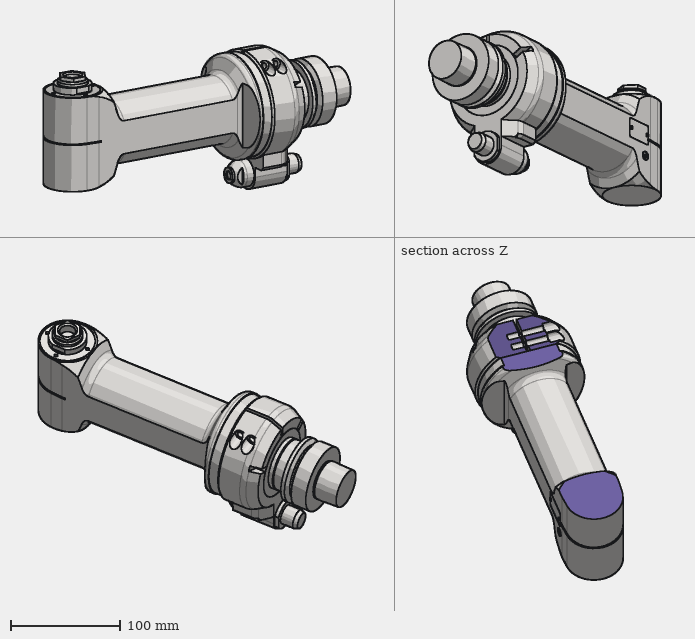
import cadquery as cq
import math


ARM_RADIUS = 32.0
FLAT_HALF_WIDTH = 28.0
HEAD_HALF_HEIGHT = 45.0
HEAD_FRONT_RADIUS = 27.0
HEAD_TAPER_Y = 10.0
RING_RADIUS = 51.0
RING_BACK_Y = 186.8
RING_FRONT_Y = 226.2
SPIGOT_RADIUS = 33.7


def cylinder_y(radius, y_start, y_end, z=0.0):
    """Cylinder along Y, on the plane X = 0."""
    base = cq.Vector(0, y_start, z)
    return cq.Workplane(cq.Solid.makeCylinder(radius, y_end - y_start, base, cq.Vector(0, 1, 0)))


def cylinder_x(radius, x_start, x_end, y, z):
    """Cylinder with its axis along X."""
    base = cq.Vector(x_start, y, z)
    return cq.Workplane(cq.Solid.makeCylinder(radius, x_end - x_start, base, cq.Vector(1, 0, 0)))


def turned(outline):
    """Turn a (radius, Y) outline that starts and ends on the Y axis."""
    return outline.close().revolve(360, (0, 0, 0), (0, 1, 0))


HEAD_TOP_RADIUS = 27.0
HEAD_SHOULDER_Y = 27.0
HEAD_SPHERE_RADIUS = math.hypot(HEAD_HALF_HEIGHT, HEAD_TOP_RADIUS)
CONE_ANGLE = math.radians(64)
NECK_FILLET = 7.5
ARM_FLARE_Y = 157.2
FLANGE_RADIUS = 49.7
FLANGE_ROUNDING = 5.5
FLANGE_BACK_Y = 177.0
BAND_RADIUS = 48.8
FLANGE_FLAT_INNER_Y = 167.2
FLANGE_FLAT_OUTER_Y = 173.5
FLANGE_FLAT_INNER_X = 30.2
FLANGE_FLAT_FILLET_Y = 162.7
COVER_RADIUS = 25.5
COVER_HEIGHT = 0.3
COVER_HOLE_COUNT = 4
COVER_HOLE_DIAMETER = 3.0
COVER_HOLE_CIRCLE_RADIUS = 21.2
COVER_HOLE_DEPTH = 3.2
SPLIT_GROOVE_WIDTH = 1.0
SPLIT_GROOVE_DEPTH = 0.5
PLATE_Y = (13.0, 42.0)
PLATE_Z = (-5.8, 12.8)
PLATE_THICKNESS = 0.15
PLATE_CORNER = 1.5
RIVET_DIAMETER = 3.2
RIVET_HEIGHT = 0.8
RIVET_INSET = 2.0
PLUG_Y = 17.0
PLUG_Z = -17.0
PLUG_DIAMETER = 8.0
PLUG_RECESS = 0.5
PLUG_SOCKET_DIAMETER = 3.2
PLUG_SOCKET_DEPTH = 3.2


def housing_turned():
    """Arm, both shoulder cones, the spherical head and the flange with its spigot."""
    fillet_length = NECK_FILLET * math.sin(CONE_ANGLE)
    cone_inner_radius = ARM_RADIUS + NECK_FILLET * (1 - math.cos(CONE_ANGLE))
    slope = math.tan(CONE_ANGLE)

    head_cone_y = HEAD_SHOULDER_Y + (HEAD_HALF_HEIGHT - cone_inner_radius) / slope
    flange_cone_y = ARM_FLARE_Y + fillet_length
    cone_outer_radius = FLANGE_RADIUS - FLANGE_ROUNDING * (1 - math.cos(CONE_ANGLE))
    rounding_start_y = flange_cone_y + (cone_outer_radius - cone_inner_radius) / slope
    rounding_end_y = rounding_start_y + FLANGE_ROUNDING * math.sin(CONE_ANGLE)

    outline = (
        cq.Workplane("XY")
        .moveTo(0, -HEAD_SPHERE_RADIUS)
        .threePointArc((HEAD_SPHERE_RADIUS, 0), (HEAD_HALF_HEIGHT, HEAD_SHOULDER_Y))
        .lineTo(cone_inner_radius, head_cone_y)
        .tangentArcPoint((ARM_RADIUS, head_cone_y + fillet_length), relative=False)
        .lineTo(ARM_RADIUS, ARM_FLARE_Y)
        .tangentArcPoint((cone_inner_radius, flange_cone_y), relative=False)
        .lineTo(cone_outer_radius, rounding_start_y)
        .tangentArcPoint((FLANGE_RADIUS, rounding_end_y), relative=False)
        .lineTo(FLANGE_RADIUS, FLANGE_BACK_Y)
        .lineTo(BAND_RADIUS, FLANGE_BACK_Y)
        .lineTo(BAND_RADIUS, RING_BACK_Y)
        .lineTo(SPIGOT_RADIUS, RING_BACK_Y)
        .lineTo(SPIGOT_RADIUS, RING_FRONT_Y)
        .lineTo(0, RING_FRONT_Y)
    )
    return turned(outline)


def head_tangent_point(front_radius, half_width):
    """Point on the round head front where the +X side, drawn in from its taper start, is tangent."""
    distance = math.hypot(half_width, HEAD_TAPER_Y)
    direction = math.atan2(HEAD_TAPER_Y, half_width)
    angle = direction - math.acos(front_radius / distance)
    return (front_radius * math.cos(angle), front_radius * math.sin(angle))


def housing_plan(front_radius, half_width):
    """Prism with the plan of the housing: round head, flat arm sides and sloping flats on the flange."""
    return (
        cq.Workplane("XY")
        .workplane(offset=-RING_RADIUS)
        .moveTo(0, -front_radius)
        .radiusArc(head_tangent_point(front_radius, half_width), -front_radius)
        .lineTo(half_width, HEAD_TAPER_Y)
        .lineTo(half_width, FLANGE_FLAT_FILLET_Y)
        .tangentArcPoint((FLANGE_FLAT_INNER_X, FLANGE_FLAT_INNER_Y), relative=False)
        .lineTo(RING_RADIUS, FLANGE_FLAT_OUTER_Y)
        .lineTo(RING_RADIUS, RING_FRONT_Y)
        .lineTo(0, RING_FRONT_Y)
        .mirrorY()
        .extrude(2 * RING_RADIUS)
    )


def trim_head_ends(body):
    """Cut the head flat at top and bottom and leave a raised round cover on top."""
    slab_width = 2 * HEAD_SPHERE_RADIUS
    slab = cq.Workplane("XY").box(slab_width, slab_width, HEAD_HALF_HEIGHT, centered=(True, True, False))
    for slab_bottom in (HEAD_HALF_HEIGHT, -2 * HEAD_HALF_HEIGHT):
        body = body.cut(slab.translate((0, 0, slab_bottom)))
    rim = (
        cq.Workplane("XY")
        .workplane(offset=HEAD_HALF_HEIGHT - COVER_HEIGHT)
        .circle(HEAD_SPHERE_RADIUS)
        .circle(COVER_RADIUS)
        .extrude(COVER_HEIGHT)
    )
    return body.cut(rim)


def cover_holes():
    """Blind holes in the cover, around the spindle."""
    return (
        cq.Workplane("XY")
        .workplane(offset=HEAD_HALF_HEIGHT - COVER_HOLE_DEPTH)
        .polarArray(COVER_HOLE_CIRCLE_RADIUS, 0, 360, COVER_HOLE_COUNT)
        .circle(COVER_HOLE_DIAMETER / 2)
        .extrude(COVER_HOLE_DEPTH)
    )


def split_groove():
    """Shallow groove around the front of the head, ending at the name plate."""
    length = PLATE_Y[0] + HEAD_FRONT_RADIUS
    band = cq.Workplane("XY").box(
        2 * ARM_RADIUS, length, SPLIT_GROOVE_WIDTH, centered=(True, False, True)
    )
    band = band.translate((0, -HEAD_FRONT_RADIUS, 0))
    return band.cut(
        housing_plan(HEAD_FRONT_RADIUS - SPLIT_GROOVE_DEPTH, FLAT_HALF_WIDTH - SPLIT_GROOVE_DEPTH)
    )


def name_plate():
    """Thin plate with two rivets on the -X flat."""
    width = PLATE_Y[1] - PLATE_Y[0]
    height = PLATE_Z[1] - PLATE_Z[0]
    middle_z = (PLATE_Z[0] + PLATE_Z[1]) / 2
    plate = cq.Workplane("XY").box(PLATE_THICKNESS, width, height, centered=(False, False, True))
    plate = plate.edges("|X").fillet(PLATE_CORNER)
    plate = plate.translate((-FLAT_HALF_WIDTH - PLATE_THICKNESS, PLATE_Y[0], middle_z))
    for rivet_y in (PLATE_Y[0] + RIVET_INSET, PLATE_Y[1] - RIVET_INSET):
        rivet = cylinder_x(
            RIVET_DIAMETER / 2, -FLAT_HALF_WIDTH - RIVET_HEIGHT, -FLAT_HALF_WIDTH, rivet_y, middle_z
        )
        plate = plate.union(rivet)
    return plate


def plug_recess():
    """Shallow round recess with a small socket in the -X flat."""
    recess = cylinder_x(PLUG_DIAMETER / 2, -FLAT_HALF_WIDTH, -FLAT_HALF_WIDTH + PLUG_RECESS, PLUG_Y, PLUG_Z)
    socket = cylinder_x(
        PLUG_SOCKET_DIAMETER / 2, -FLAT_HALF_WIDTH, -FLAT_HALF_WIDTH + PLUG_SOCKET_DEPTH, PLUG_Y, PLUG_Z
    )
    return recess.union(socket)


def make_housing():
    body = housing_turned().intersect(housing_plan(HEAD_FRONT_RADIUS, FLAT_HALF_WIDTH))
    body = trim_head_ends(body)
    body = body.cut(cover_holes()).cut(split_groove()).cut(plug_recess())
    return body.union(name_plate())


RING_FACE_RADIUS = 44.0
RING_CONE_RADIUS = 49.5
RING_CONE_Y = 216.3
RING_ROUNDING_Y = 210.5
RING_BACK_CHAMFER = 2.0
SLIT_WIDTH = 3.05
NOTCH_WIDTH = 5.0
NOTCH_ANGLES = (30, 150)
SCREW_YS = (195.5, 208.0)
SCREW_Z = 40.5
SCREW_HEAD_DIAMETER = 11.0
SCREW_HEAD_FLOOR_X = 22.5
SCREW_HOLE_DIAMETER = 6.0
SCREW_HOLE_END_X = -12.8
BRACKET_HALF_WIDTH = 28.5
BRACKET_BACK_Y = 191.0
BRACKET_BOTTOM_Z = -57.8
BRACKET_TOP_Z = -38.5
BRACKET_CHAMFER = 3.2
BRACKET_BEVEL_X = 26.3
PIN_Z = -65.5
BOSS_RADIUS = 15.0
BOSS_BOTTOM_Z = -81.5
BOSS_CENTRE_Z = BOSS_BOTTOM_Z + BOSS_RADIUS
PIN_TAIL_RADIUS = 9.3
PIN_TAIL_Y = 247.0
PIN_TAIL_CHAMFER_LENGTH = 4.2
PIN_TAIL_CHAMFER_DEPTH = 1.5
PIN_COLLAR_RADIUS = 14.5
PIN_COLLAR_Y = 230.0
PIN_COLLAR_FLAT_X = 12.8
PIN_BARREL_RADIUS = 13.0
PIN_BARREL_Y = 183.2
PIN_NOSE_Y = 173.5
PIN_NOSE_MIDDLE = (11.2, 178.0)
PIN_TIP_RADIUS = 7.5
PIN_TIP_Y = 171.5
PIN_NOSE_FLAT_X = 9.3
PIN_NOSE_FLAT_Y = 180.5
PIN_HOLE_DIAMETER = 8.0
PIN_HOLE_DEPTH = 1.3


def ring_blank():
    """Turned ring with a cone and a rounded shoulder on the shank side."""
    return turned(
        cq.Workplane("XY")
        .moveTo(0, RING_BACK_Y)
        .lineTo(RING_RADIUS - RING_BACK_CHAMFER, RING_BACK_Y)
        .lineTo(RING_RADIUS, RING_BACK_Y + RING_BACK_CHAMFER)
        .lineTo(RING_RADIUS, RING_ROUNDING_Y)
        .tangentArcPoint((RING_CONE_RADIUS, RING_CONE_Y), relative=False)
        .lineTo(RING_FACE_RADIUS, RING_FRONT_Y)
        .lineTo(0, RING_FRONT_Y)
    )


def bracket():
    """Block below the ring; its sides are rounded and bevelled towards the boss."""
    block = (
        cq.Workplane("XY")
        .workplane(offset=BRACKET_BOTTOM_Z)
        .moveTo(0, BRACKET_BACK_Y)
        .lineTo(BRACKET_HALF_WIDTH, BRACKET_BACK_Y)
        .lineTo(BRACKET_HALF_WIDTH, RING_ROUNDING_Y)
        .tangentArcPoint((BRACKET_BEVEL_X, RING_CONE_Y), relative=False)
        .lineTo(BOSS_RADIUS, RING_FRONT_Y)
        .lineTo(0, RING_FRONT_Y)
        .mirrorY()
        .extrude(BRACKET_TOP_Z - BRACKET_BOTTOM_Z)
    )
    block = block.faces("<Z").edges("<X or >X").chamfer(BRACKET_CHAMFER)
    length = RING_FRONT_Y - BRACKET_BACK_Y
    web = cq.Workplane("XY").box(
        2 * BOSS_RADIUS, length, BRACKET_TOP_Z - BOSS_CENTRE_Z, centered=(True, False, False)
    )
    web = web.translate((0, BRACKET_BACK_Y, BOSS_CENTRE_Z))
    boss = cylinder_y(BOSS_RADIUS, BRACKET_BACK_Y, RING_FRONT_Y, z=BOSS_CENTRE_Z)
    return block.union(web).union(boss)


def side_flats(half_width, y_start, y_end):
    """Cutters that leave two flats at X = +half_width and X = -half_width on the pin."""
    size = 2 * PIN_COLLAR_RADIUS
    cutter = cq.Workplane("XY").box(size, y_end - y_start, size, centered=(False, False, True))
    right = cutter.translate((half_width, y_start, PIN_Z))
    return right.union(right.mirror("YZ"))


def locating_pin():
    """Turned pin through the boss, with flats on its collar and nose and a hole in its tip."""
    pin = turned(
        cq.Workplane("XY")
        .moveTo(0, PIN_TIP_Y)
        .lineTo(PIN_TIP_RADIUS, PIN_TIP_Y)
        .lineTo(PIN_TIP_RADIUS, PIN_NOSE_Y)
        .threePointArc(PIN_NOSE_MIDDLE, (PIN_BARREL_RADIUS, PIN_BARREL_Y))
        .lineTo(PIN_BARREL_RADIUS, RING_FRONT_Y)
        .lineTo(PIN_COLLAR_RADIUS, RING_FRONT_Y)
        .lineTo(PIN_COLLAR_RADIUS, PIN_COLLAR_Y)
        .lineTo(PIN_TAIL_RADIUS, PIN_COLLAR_Y)
        .lineTo(PIN_TAIL_RADIUS, PIN_TAIL_Y - PIN_TAIL_CHAMFER_LENGTH)
        .lineTo(PIN_TAIL_RADIUS - PIN_TAIL_CHAMFER_DEPTH, PIN_TAIL_Y)
        .lineTo(0, PIN_TAIL_Y)
    ).translate((0, 0, PIN_Z))
    pin = pin.cut(side_flats(PIN_COLLAR_FLAT_X, RING_FRONT_Y, PIN_COLLAR_Y))
    pin = pin.cut(side_flats(PIN_NOSE_FLAT_X, PIN_TIP_Y, PIN_NOSE_FLAT_Y))
    return pin.cut(cylinder_y(PIN_HOLE_DIAMETER / 2, PIN_TIP_Y, PIN_TIP_Y + PIN_HOLE_DEPTH, z=PIN_Z))


def clamp_slit():
    """Slit through the top of the ring wall."""
    length = RING_FRONT_Y - RING_BACK_Y
    slit = cq.Workplane("XY").box(SLIT_WIDTH, length, RING_RADIUS, centered=(True, False, False))
    return slit.translate((0, RING_BACK_Y, 0))


def drive_notch(angle):
    """Radial notch through the coned part of the ring wall, at an angle from +X towards +Z."""
    notch = cq.Workplane("XY").box(
        RING_RADIUS, RING_FRONT_Y - RING_CONE_Y, NOTCH_WIDTH, centered=(False, False, True)
    )
    notch = notch.translate((0, RING_CONE_Y, 0))
    return notch.rotate((0, 0, 0), (0, 1, 0), -angle)


def clamp_screw_hole(y):
    """Counterbored hole along X across the slit, open towards +X."""
    head = cylinder_x(SCREW_HEAD_DIAMETER / 2, SCREW_HEAD_FLOOR_X, RING_RADIUS, y, SCREW_Z)
    shank = cylinder_x(SCREW_HOLE_DIAMETER / 2, SCREW_HOLE_END_X, SCREW_HEAD_FLOOR_X, y, SCREW_Z)
    return head.union(shank)


def make_clamp_ring():
    body = ring_blank().union(bracket()).union(locating_pin())
    body = body.cut(cylinder_y(SPIGOT_RADIUS, RING_BACK_Y, RING_FRONT_Y))
    body = body.cut(clamp_slit())
    for angle in NOTCH_ANGLES:
        body = body.cut(drive_notch(angle))
    for y in SCREW_YS:
        body = body.cut(clamp_screw_hole(y))
    return body


SHANK_NECK_RADIUS = 25.0
NECK_GROOVE_Y = 231.0
NECK_GROOVE_WIDTH = 1.0
NECK_GROOVE_DEPTH = 0.3
SHANK_FLANGE_RADIUS = 31.8
SHANK_FLANGE_Y = (243.2, 269.5)
GRIP_GROOVE_Y = 250.5
GRIP_GROOVE_DEPTH = 5.0
GRIP_GROOVE_WIDTH = 7.0
GRIP_GROOVE_FLOOR = 2.0
TAPER_BASE_RADIUS = 19.0
TAPER_END_RADIUS = 18.3
TAPER_RELIEF_LENGTH = 1.5
TAPER_RELIEF_DEPTH = 0.5
SHANK_END_Y = 294.0


def make_shank():
    """Turned shank: neck, flange with a V-shaped grip groove, and the short taper."""
    grip_root = SHANK_FLANGE_RADIUS - GRIP_GROOVE_DEPTH
    neck_groove_root = SHANK_NECK_RADIUS - NECK_GROOVE_DEPTH
    relief_radius = TAPER_BASE_RADIUS - TAPER_RELIEF_DEPTH
    relief_end_y = SHANK_FLANGE_Y[1] + TAPER_RELIEF_LENGTH
    return turned(
        cq.Workplane("XY")
        .moveTo(0, RING_FRONT_Y)
        .lineTo(SHANK_NECK_RADIUS, RING_FRONT_Y)
        .lineTo(SHANK_NECK_RADIUS, NECK_GROOVE_Y - NECK_GROOVE_WIDTH / 2)
        .lineTo(neck_groove_root, NECK_GROOVE_Y - NECK_GROOVE_WIDTH / 2)
        .lineTo(neck_groove_root, NECK_GROOVE_Y + NECK_GROOVE_WIDTH / 2)
        .lineTo(SHANK_NECK_RADIUS, NECK_GROOVE_Y + NECK_GROOVE_WIDTH / 2)
        .lineTo(SHANK_NECK_RADIUS, SHANK_FLANGE_Y[0])
        .lineTo(SHANK_FLANGE_RADIUS, SHANK_FLANGE_Y[0])
        .lineTo(SHANK_FLANGE_RADIUS, GRIP_GROOVE_Y - GRIP_GROOVE_WIDTH / 2)
        .lineTo(grip_root, GRIP_GROOVE_Y - GRIP_GROOVE_FLOOR / 2)
        .lineTo(grip_root, GRIP_GROOVE_Y + GRIP_GROOVE_FLOOR / 2)
        .lineTo(SHANK_FLANGE_RADIUS, GRIP_GROOVE_Y + GRIP_GROOVE_WIDTH / 2)
        .lineTo(SHANK_FLANGE_RADIUS, SHANK_FLANGE_Y[1])
        .lineTo(relief_radius, SHANK_FLANGE_Y[1])
        .lineTo(relief_radius, relief_end_y)
        .lineTo(TAPER_BASE_RADIUS, relief_end_y)
        .lineTo(TAPER_END_RADIUS, SHANK_END_Y)
        .lineTo(0, SHANK_END_Y)
    )


SPINDLE_COLLAR_RADIUS = 17.5
SPINDLE_COLLAR_TOP_Z = 51.5
SPINDLE_COLLAR_FLAT_X = 16.5
SPINDLE_COLLAR_LIP = 1.0
NUT_DISC_RADIUS = 14.0
NUT_DISC_TOP_Z = 55.5
NUT_DISC_CHAMFER = 1.5
NUT_ACROSS_FLATS = 22.5
NUT_TOP_Z = 59.0
COLLET_BORE_RADIUS = 7.5
COLLET_BORE_CHAMFER = 1.5
COLLET_BORE_DEPTH = 9.5


def make_spindle():
    """Collar with two flats, collet nut and blind collet bore."""
    collar_height = SPINDLE_COLLAR_TOP_Z - HEAD_HALF_HEIGHT
    collar = cq.Workplane("XY").workplane(offset=HEAD_HALF_HEIGHT).circle(SPINDLE_COLLAR_RADIUS)
    collar = collar.extrude(collar_height)
    flat_cutter = cq.Workplane("XY").box(
        SPINDLE_COLLAR_RADIUS, 2 * SPINDLE_COLLAR_RADIUS, collar_height, centered=(False, True, False)
    )
    flat_cutter = flat_cutter.translate((SPINDLE_COLLAR_FLAT_X, 0, HEAD_HALF_HEIGHT + SPINDLE_COLLAR_LIP))
    collar = collar.cut(flat_cutter).cut(flat_cutter.mirror("YZ"))

    disc = cq.Workplane("XY").workplane(offset=SPINDLE_COLLAR_TOP_Z).circle(NUT_DISC_RADIUS)
    disc = disc.extrude(NUT_DISC_TOP_Z - SPINDLE_COLLAR_TOP_Z).faces(">Z").chamfer(NUT_DISC_CHAMFER)

    across_corners = NUT_ACROSS_FLATS / math.cos(math.radians(30))
    hexagon = cq.Workplane("XY").polygon(6, across_corners).extrude(NUT_TOP_Z - NUT_DISC_TOP_Z)
    hexagon = hexagon.rotate((0, 0, 0), (0, 0, 1), 90).translate((0, 0, NUT_DISC_TOP_Z))

    bore = (
        cq.Workplane("XZ")
        .moveTo(0, NUT_TOP_Z)
        .lineTo(COLLET_BORE_RADIUS + COLLET_BORE_CHAMFER, NUT_TOP_Z)
        .lineTo(COLLET_BORE_RADIUS, NUT_TOP_Z - COLLET_BORE_CHAMFER)
        .lineTo(COLLET_BORE_RADIUS, NUT_TOP_Z - COLLET_BORE_DEPTH)
        .lineTo(0, NUT_TOP_Z - COLLET_BORE_DEPTH)
        .close()
        .revolve(360, (0, 0, 0), (0, 1, 0))
    )
    return collar.union(disc).union(hexagon).cut(bore)


housing = make_housing()
clamp_ring = make_clamp_ring()
shank = make_shank()
spindle = make_spindle()

result = cq.Compound.makeCompound([
    housing.solids().val(),
    clamp_ring.solids().val(),
    shank.solids().val(),
    spindle.solids().val(),
])